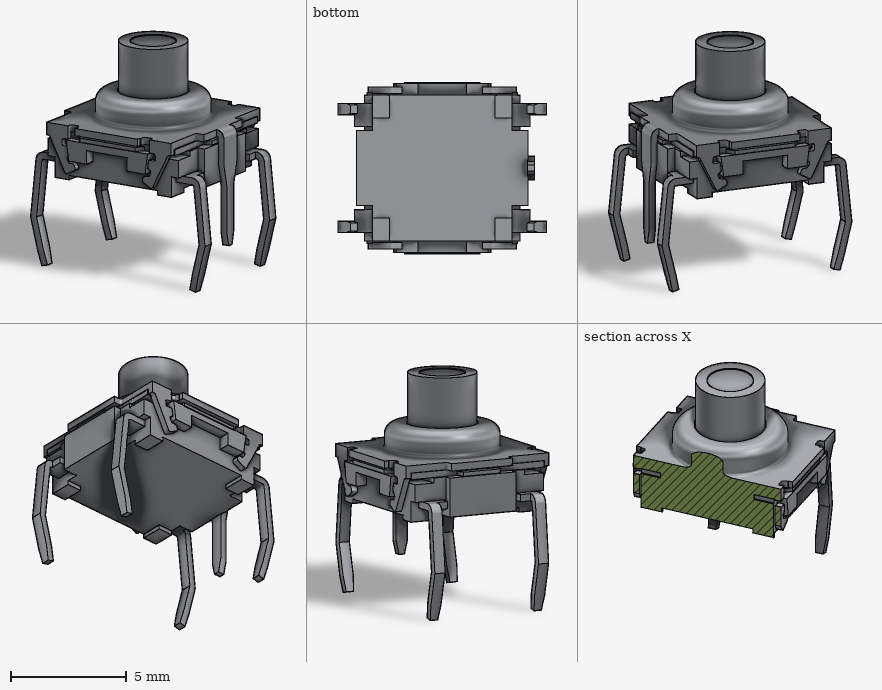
import cadquery as cq
import math


floor_z = 0.20
terminal_bottom_z = 0.61
housing_top_z = 1.92
film_top_z = 2.10
cover_bottom_z = 2.20
cover_top_z = 2.52
dome_flare_top_z = 2.70
dome_top_z = 3.66
stem_top_z = 5.86
pin_tip_z = -4.19

core_half_x = 3.00
housing_half_y = 3.15
shoulder_half_x = 3.36
shoulder_bottom_z = 0.92
side_block_half_x = 3.70
side_block_half_y = 1.62
foot_length_x = 0.72
foot_length_y = 1.00
relief_inner_x = 2.33
relief_inner_y = 2.22
relief_depth = 0.22

latch_face_y = 3.65
latch_bottom_z = 1.00
latch_top_half_x = 2.10
latch_bottom_half_x = 1.97
latch_recess_half_x = 1.05
latch_recess_top_z = 1.60

film_half = 3.25
film_tab_reach = 3.61
film_tabs = {
    "x": (1.02, 0.90),
    "y": (1.69, 1.42),
}

cover_half_x = 3.20
cover_half_y = 3.50
cover_tab_x = 3.60
cover_tab_x_half_width = 1.50
cover_tab_y = 3.70
cover_tab_y_half_width = 1.62
notch_floor_y = 3.24
notch_floor_half_x = 1.70
cover_corner_radius = 0.10

clip_thickness = 0.29
clip_corner_radius = 0.10
clip_shoulder = (3.05, 1.96)
clip_heel = (2.22, 0.33)
clip_toe = (1.70, 0.61)
clip_hook = (1.82, 0.86)
clip_lower_gap_start = (2.05, 0.86)
clip_lower_gap_floor = (2.20, 1.10)
clip_lower_gap_end = (2.01, 1.23)
clip_upper_gap_start = (2.05, 1.60)
clip_upper_gap_bottom = (2.41, 1.60)
clip_upper_gap_top = (2.41, housing_top_z)

dome_diameter = 5.0
dome_edge_radius = 0.5
stem_diameter = 3.0
stem_gap_diameter = 3.1
stem_gap_depth = 0.5
stem_recess_diameter = 2.0
stem_recess_depth = 0.05

metal_thickness = 0.31
terminal_y = 2.54
terminal_width = 0.50
terminal_tip_width = 0.36
terminal_taper_length = 0.70
terminal_root_x = 2.50
terminal_knee_x = 4.50
terminal_knee_z = -2.05
terminal_upper_angle = 6.0
terminal_lower_angle = 14.0
terminal_inner_radius = 0.10
flange_reach_x = 3.785
flange_inner_y = 1.79

ground_outer_x = 3.98
ground_bend_radius = 0.36
ground_strap_half_width = 0.515
ground_pin_half_width = 0.275
ground_tip_half_width = 0.13
ground_taper_top_z = 1.00
ground_point_z = -2.10
ground_tip_z = -2.70


def block(x0, x1, y0, y1, z0, z1):
    return cq.Workplane("XY").box(x1 - x0, y1 - y0, z1 - z0, centered=False).translate((x0, y0, z0))


def centred_block(half_x, half_y, z0, z1):
    return block(-half_x, half_x, -half_y, half_y, z0, z1)


def xz_plate(points, y0, y1):
    """Outline in X and Z, extruded from y0 to y1."""
    return cq.Workplane("XZ", origin=(0, y0, 0)).polyline(points).close().extrude(y0 - y1)


def edge_along_y(x, y0, y1, z):
    """Selects the edge parallel to Y through (x, z)."""
    return cq.selectors.NearestToPointSelector((x, (y0 + y1) / 2, z))


def mirror_x(shape):
    return shape.union(shape.mirror("YZ"))


def mirror_y(shape):
    return shape.union(shape.mirror("XZ"))


def housing():
    body = centred_block(core_half_x, housing_half_y, floor_z, housing_top_z)
    body = body.union(centred_block(shoulder_half_x, housing_half_y, shoulder_bottom_z, housing_top_z))
    body = body.union(centred_block(side_block_half_x, side_block_half_y, floor_z, housing_top_z))
    foot = block(core_half_x - foot_length_x, core_half_x,
                 housing_half_y - foot_length_y, housing_half_y, 0, floor_z)
    relief = block(relief_inner_x, shoulder_half_x, relief_inner_y, housing_half_y,
                   housing_top_z - relief_depth, housing_top_z)
    return body.union(mirror_y(mirror_x(foot))).cut(mirror_y(mirror_x(relief)))


def latch_block():
    """U-shaped block on the -Y face, opening downwards."""
    outline = [
        (-latch_top_half_x, housing_top_z),
        (-latch_bottom_half_x, latch_bottom_z),
        (-latch_recess_half_x, latch_bottom_z),
        (-latch_recess_half_x, latch_recess_top_z),
        (latch_recess_half_x, latch_recess_top_z),
        (latch_recess_half_x, latch_bottom_z),
        (latch_bottom_half_x, latch_bottom_z),
        (latch_top_half_x, housing_top_z),
    ]
    return xz_plate(outline, -latch_face_y, -housing_half_y)


def film():
    sheet = centred_block(film_half, film_half, housing_top_z, cover_bottom_z)
    for axis, (root, tip) in film_tabs.items():
        outline = [(film_half, -root), (film_tab_reach, -tip), (film_tab_reach, tip), (film_half, root)]
        tab = cq.Workplane("XY").polyline(outline).close().extrude(film_top_z - housing_top_z)
        tab = tab.translate((0, 0, housing_top_z))
        if axis == "x":
            sheet = sheet.union(mirror_x(tab))
        else:
            sheet = sheet.union(mirror_y(tab.rotate((0, 0, 0), (0, 0, 1), 90)))
    return sheet


def cover_plate():
    thickness = cover_top_z - cover_bottom_z
    middle_z = cover_bottom_z + thickness / 2
    plate = centred_block(cover_half_x, cover_half_y, cover_bottom_z, cover_top_z)
    plate = plate.union(centred_block(cover_tab_x, cover_tab_x_half_width, cover_bottom_z, cover_top_z))
    plate = plate.union(centred_block(cover_tab_y_half_width, cover_tab_y, cover_bottom_z, cover_top_z))
    for x in (-cover_half_x, cover_half_x):
        for y in (-cover_tab_x_half_width, cover_tab_x_half_width):
            corner = cq.selectors.NearestToPointSelector((x, y, middle_z))
            plate = plate.edges("|Z").edges(corner).fillet(cover_corner_radius)
    notch = (
        cq.Workplane("XY", origin=(0, 0, cover_bottom_z))
        .polyline([
            (latch_top_half_x, cover_tab_y),
            (latch_top_half_x, notch_floor_y),
            (notch_floor_half_x, notch_floor_y),
            (cover_tab_y_half_width, cover_tab_y),
        ])
        .close().extrude(thickness)
        .edges("|Z and <Y").fillet(cover_corner_radius)
    )
    return plate.cut(mirror_y(mirror_x(notch)))


def clip_leg():
    """Hooked leg under the +X, -Y corner of the cover, gripping the latch block."""
    corners = [
        clip_shoulder,
        clip_heel,
        clip_toe,
        clip_hook,
        clip_lower_gap_start,
        clip_lower_gap_floor,
        clip_upper_gap_bottom,
        clip_upper_gap_top,
    ]
    outline = [
        (cover_half_x, cover_bottom_z),
        (cover_half_x, clip_shoulder[1]),
        clip_shoulder,
        clip_heel,
        clip_toe,
        clip_hook,
        clip_lower_gap_start,
        clip_lower_gap_floor,
        clip_lower_gap_end,
        clip_upper_gap_start,
        clip_upper_gap_bottom,
        clip_upper_gap_top,
        (latch_top_half_x, housing_top_z),
        (latch_top_half_x, cover_bottom_z),
    ]
    inner_y = -cover_half_y + clip_thickness
    leg = xz_plate(outline, -cover_half_y, inner_y)
    for x, z in corners:
        leg = leg.edges(edge_along_y(x, -cover_half_y, inner_y, z)).fillet(clip_corner_radius)
    return leg


def dome():
    radius = dome_diameter / 2
    flare = dome_flare_top_z - cover_top_z
    shoulder_z = dome_top_z - dome_edge_radius
    diagonal = math.sqrt(0.5)
    profile = (
        cq.Workplane("XZ")
        .moveTo(0, cover_bottom_z)
        .lineTo(radius + flare, cover_bottom_z)
        .lineTo(radius + flare, cover_top_z)
        .threePointArc((radius + flare * (1 - diagonal), dome_flare_top_z - flare * diagonal),
                       (radius, dome_flare_top_z))
        .lineTo(radius, shoulder_z)
        .threePointArc((radius - dome_edge_radius * (1 - diagonal), shoulder_z + dome_edge_radius * diagonal),
                       (radius - dome_edge_radius, dome_top_z))
        .lineTo(0, dome_top_z)
        .close()
    )
    return profile.revolve(360, (0, 0), (0, 1))


def disc(diameter, z0, z1):
    return cq.Workplane("XY", origin=(0, 0, z0)).circle(diameter / 2).extrude(z1 - z0)


def dome_with_stem():
    gap_floor_z = dome_top_z - stem_gap_depth
    body = dome().cut(disc(stem_gap_diameter, gap_floor_z, dome_top_z))
    body = body.union(disc(stem_diameter, gap_floor_z, stem_top_z))
    return body.cut(disc(stem_recess_diameter, stem_top_z - stem_recess_depth, stem_top_z))


def terminal():
    """Bent terminal at +X, +Y, with the flange beside its root."""
    upper = math.radians(terminal_upper_angle)
    lower = math.radians(terminal_lower_angle)
    top_z = terminal_bottom_z + metal_thickness
    t = metal_thickness
    edge_y0 = terminal_y - terminal_width / 2
    edge_y1 = terminal_y + terminal_width / 2

    bend_x = terminal_knee_x - (top_z - terminal_knee_z) * math.tan(upper)
    tip_x = terminal_knee_x - (terminal_knee_z - pin_tip_z) * math.tan(lower)

    inner_bend_x = bend_x + t * math.tan(upper) - t / math.cos(upper)
    half_turn = (upper + lower) / 2
    knee_bisector = (lower - upper) / 2
    knee_offset = t / math.cos(half_turn)
    inner_knee = (terminal_knee_x - knee_offset * math.cos(knee_bisector),
                  terminal_knee_z + knee_offset * math.sin(knee_bisector))
    inner_tip = (tip_x - t * math.cos(lower), pin_tip_z + t * math.sin(lower))

    strip = xz_plate([
        (terminal_root_x, top_z),
        (bend_x, top_z),
        (terminal_knee_x, terminal_knee_z),
        (tip_x, pin_tip_z),
        inner_tip,
        inner_knee,
        (inner_bend_x, terminal_bottom_z),
        (terminal_root_x, terminal_bottom_z),
    ], edge_y0, edge_y1)
    strip = strip.edges(edge_along_y(inner_bend_x, edge_y0, edge_y1, terminal_bottom_z))
    strip = strip.fillet(terminal_inner_radius)
    strip = strip.edges(edge_along_y(bend_x, edge_y0, edge_y1, top_z))
    strip = strip.fillet(terminal_inner_radius + t)

    step = (terminal_width - terminal_tip_width) / 2
    wedge = (
        cq.Workplane("YZ")
        .polyline([(terminal_width / 2, terminal_taper_length), (terminal_width / 2, 0),
                   (terminal_width / 2 - step, 0)])
        .close().extrude(t, both=True)
    )
    wedges = mirror_y(wedge).rotate((0, 0, 0), (0, 1, 0), terminal_lower_angle)
    strip = strip.cut(wedges.translate((tip_x, terminal_y, pin_tip_z)))

    flange = block(terminal_root_x, flange_reach_x, flange_inner_y, edge_y1, terminal_bottom_z, top_z)
    return strip.union(flange)


def ground_pin():
    """Strap bent down from the +X edge of the cover, narrowing to a pointed pin."""
    inner_x = ground_outer_x - metal_thickness
    strap = xz_plate([
        (cover_half_x, cover_top_z),
        (ground_outer_x, cover_top_z),
        (ground_outer_x, ground_tip_z),
        (inner_x, ground_tip_z),
        (inner_x, cover_bottom_z),
        (cover_half_x, cover_bottom_z),
    ], -ground_strap_half_width, ground_strap_half_width)
    bend = edge_along_y(ground_outer_x, -ground_strap_half_width, ground_strap_half_width, cover_top_z)
    strap = strap.edges(bend).fillet(ground_bend_radius)
    right_side = [
        (ground_strap_half_width, cover_top_z),
        (ground_strap_half_width, ground_taper_top_z),
        (ground_pin_half_width, 0),
        (ground_pin_half_width, ground_point_z),
        (ground_tip_half_width, ground_tip_z),
    ]
    left_side = [(-y, z) for y, z in reversed(right_side)]
    face = cq.Workplane("YZ").polyline(right_side + left_side).close().extrude(ground_outer_x)
    return strap.intersect(face)


result = housing()
result = result.union(mirror_y(latch_block()))
result = result.union(film())
result = result.union(cover_plate())
result = result.union(mirror_y(mirror_x(clip_leg())))
result = result.union(dome_with_stem())
result = result.union(mirror_y(mirror_x(terminal())))
result = result.union(ground_pin())